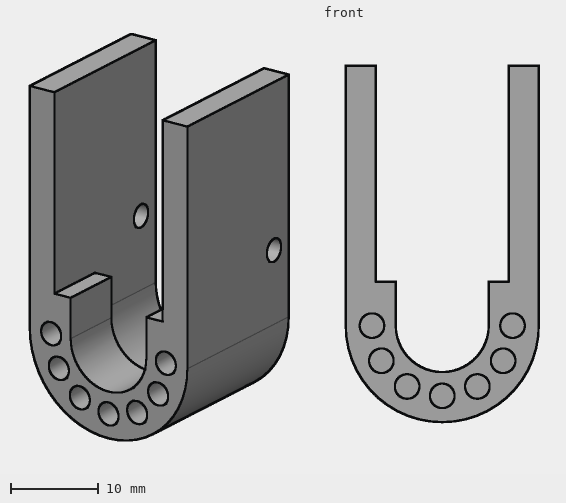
import cadquery as cq
import math

height = 40.7
depth = 20.0
outer_radius = 11.03
axis_z = outer_radius

bore_radius = 7.55
seat_radius = 5.3
seat_length = 8.0
seat_top_z = 16.05

hole_diameter = 2.8
fan_radius = 8.0
fan_count = 7
fan_hole_depth = 6.0

cross_hole_from_back = 2.95
cross_hole_z = 20.1

front_y = -depth / 2
back_y = depth / 2


def extrude_back(profile, start_y, length):
    """Sketch a profile on the XZ plane at start_y and extrude it toward +Y."""
    plane = cq.Workplane("XZ", origin=(0, start_y, 0))
    return profile(plane).extrude(-length)


def u_profile(radius, top_z):
    """Return a function that sketches a U outline with its round bottom on the axis."""
    def sketch(plane):
        return (
            plane.moveTo(radius, top_z)
            .lineTo(radius, axis_z)
            .threePointArc((0, axis_z - radius), (-radius, axis_z))
            .lineTo(-radius, top_z)
            .close()
        )
    return sketch


def make_body():
    return extrude_back(u_profile(outer_radius, height), front_y, depth)


def cut_channel(part):
    bore_y = front_y + seat_length
    bore = extrude_back(u_profile(bore_radius, height), bore_y, back_y - bore_y)
    seat = extrude_back(u_profile(seat_radius, seat_top_z), front_y, seat_length)
    gap_height = height - seat_top_z
    gap = cq.Workplane("XY").box(
        2 * bore_radius, seat_length, gap_height, centered=(True, False, False)
    ).translate((0, front_y, seat_top_z))
    return part.cut(bore).cut(seat).cut(gap)


def cut_fan_holes(part):
    centers = []
    for index in range(fan_count):
        angle = math.pi * (1 + index / (fan_count - 1))
        centers.append((fan_radius * math.cos(angle), axis_z + fan_radius * math.sin(angle)))
    holes = extrude_back(
        lambda plane: plane.pushPoints(centers).circle(hole_diameter / 2), front_y, fan_hole_depth
    )
    return part.cut(holes)


def cut_cross_hole(part):
    cutter = (
        cq.Workplane("YZ")
        .center(back_y - cross_hole_from_back, cross_hole_z)
        .circle(hole_diameter / 2)
        .extrude(outer_radius, both=True)
    )
    return part.cut(cutter)


result = cut_cross_hole(cut_fan_holes(cut_channel(make_body())))